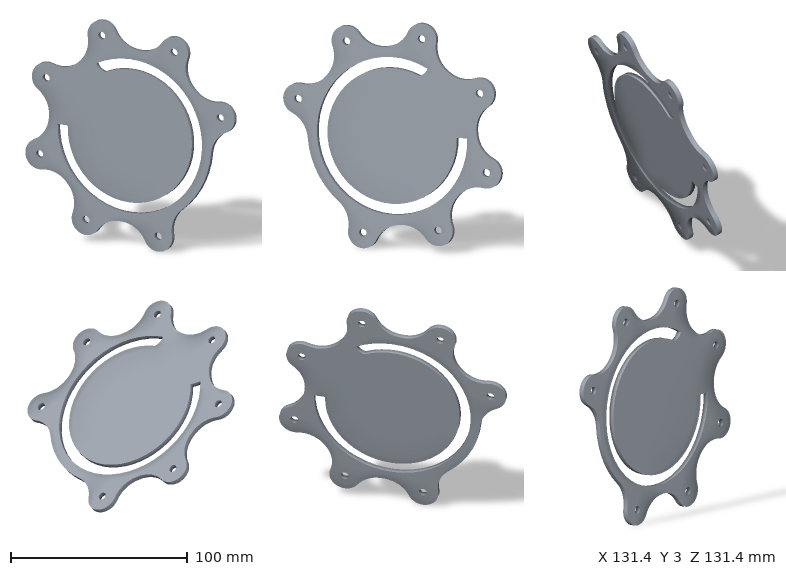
import cadquery as cq
import math

overall_size = 131.4
thickness = 3.0
rim_radius = 51.1

lug_positions = 8
lug_count = 7
lug_pitch = 360 / lug_positions
first_lug_angle = 17.3
lug_radius = 9.0
lug_circle_radius = (overall_size - 2 * lug_radius) / (2 * math.cos(math.radians(first_lug_angle)))
hole_diameter = 4.5
scallop_radius = 16.7

slot_outer_radius = 45.3
slot_inner_radius = 39.0
flat_end_height = 1.5
flat_end_corner_radius = 0.5
round_end_angle = 118.1
round_end_inner_angle = 114.4
round_end_mid_angle = 117
round_end_mid_radius = 41.1


def polar(radius, angle):
    """Point at a radius and an angle in degrees, measured from +X towards +Z."""
    return (radius * math.cos(math.radians(angle)), radius * math.sin(math.radians(angle)))


def between(start, end, distance):
    """Point at a distance from start along the line to end."""
    fraction = distance / math.dist(start, end)
    return (start[0] + fraction * (end[0] - start[0]), start[1] + fraction * (end[1] - start[1]))


def extrude(outline):
    """Extrude an XZ outline to the plate thickness, centred on Y = 0."""
    return outline.extrude(thickness / 2, both=True)


scallop_centre_radius = rim_radius + scallop_radius
scallop_offset_angle = math.degrees(
    math.acos(
        (lug_circle_radius**2 + scallop_centre_radius**2 - (lug_radius + scallop_radius) ** 2)
        / (2 * lug_circle_radius * scallop_centre_radius)
    )
)
lug_angles = [first_lug_angle + i * lug_pitch for i in range(lug_count)]


def make_plate():
    """Lugs flanked by scallops, with short rim arcs between them and a long one at the empty position."""
    start = polar(rim_radius, first_lug_angle - scallop_offset_angle)
    outline = cq.Workplane("XZ").moveTo(*start)
    for angle in lug_angles:
        if angle != first_lug_angle:
            rim_middle = polar(rim_radius, angle - lug_pitch / 2)
            outline = outline.threePointArc(rim_middle, polar(rim_radius, angle - scallop_offset_angle))
        lug_centre = polar(lug_circle_radius, angle)
        lug_tip = polar(lug_circle_radius + lug_radius, angle)
        sides = []
        for side in (-scallop_offset_angle, scallop_offset_angle):
            scallop_centre = polar(scallop_centre_radius, angle + side)
            tangent_point = between(lug_centre, scallop_centre, lug_radius)
            rim_point = polar(rim_radius, angle + side)
            chord_middle = between(rim_point, tangent_point, math.dist(rim_point, tangent_point) / 2)
            scallop_middle = between(scallop_centre, chord_middle, scallop_radius)
            sides.append((rim_point, scallop_middle, tangent_point))
        (_, before_middle, before_tangent), (after_rim, after_middle, after_tangent) = sides
        outline = outline.threePointArc(before_middle, before_tangent)
        outline = outline.threePointArc(lug_tip, after_tangent)
        outline = outline.threePointArc(after_middle, after_rim)
    empty_middle = polar(rim_radius, first_lug_angle - lug_pitch)
    return extrude(outline.threePointArc(empty_middle, start).close())


def make_holes():
    """One through hole at the centre of each lug."""
    centres = [polar(lug_circle_radius, angle) for angle in lug_angles]
    return extrude(cq.Workplane("XZ").pushPoints(centres).circle(hole_diameter / 2))


def make_slot():
    """Curved slot that leaves the disc attached to the rim at the upper left."""
    opposite_angle = -60
    flat_outer = (-math.sqrt(slot_outer_radius**2 - flat_end_height**2), flat_end_height)
    flat_inner = (-math.sqrt(slot_inner_radius**2 - flat_end_height**2), flat_end_height)
    round_outer = polar(slot_outer_radius, round_end_angle)
    round_middle = polar(round_end_mid_radius, round_end_mid_angle)
    round_inner = polar(slot_inner_radius, round_end_inner_angle)
    slot = extrude(
        cq.Workplane("XZ")
        .moveTo(*flat_outer)
        .threePointArc(polar(slot_outer_radius, opposite_angle), round_outer)
        .threePointArc(round_middle, round_inner)
        .threePointArc(polar(slot_inner_radius, opposite_angle), flat_inner)
        .close()
    )
    inner_corner = cq.selectors.NearestToPointSelector((flat_inner[0], 0, flat_inner[1]))
    return slot.edges("|Y").edges(inner_corner).fillet(flat_end_corner_radius)


result = make_plate().cut(make_holes()).cut(make_slot())